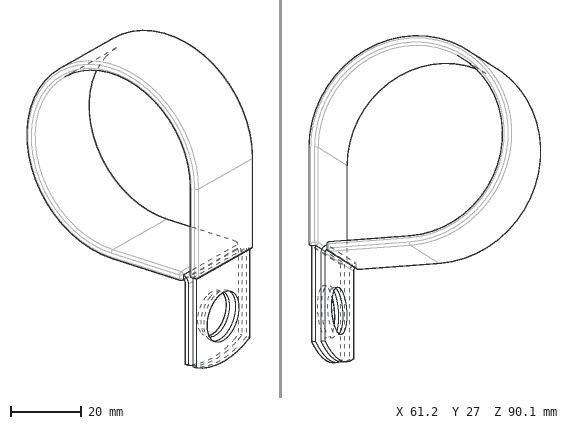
import cadquery as cq
import math


loop_inner_radius = 27.775
cushion_wall = 0.794
strap_thickness = 1.219
strap_width = 25.4
leg_end_z = -59.51
cushion_leg_end_z = -28.55
cushion_foot_end_x = 25.15
bend_inner_radius = 1.219
short_leg_hole_diameter = 13.49
long_leg_hole_diameter = 15.08
hole_to_leg_end = 14.29
leg_tip_radius = 29.5

loop_mid_angle = 135
bend_mid_angle = 45
tolerance = 1e-6

cushion_thickness = strap_thickness + 2 * cushion_wall
cushion_width = strap_width + 2 * cushion_wall
strap_inner_radius = loop_inner_radius + cushion_wall
strap_outer_radius = strap_inner_radius + strap_thickness
leg_gap = 2 * cushion_wall
short_leg_outer_x = strap_inner_radius - leg_gap
short_leg_inner_x = short_leg_outer_x - strap_thickness
bend_outer_radius = bend_inner_radius + strap_thickness
bend_center_x = short_leg_outer_x - bend_outer_radius
bend_center_z = -strap_inner_radius - bend_outer_radius
hole_z = leg_end_z + hole_to_leg_end


def extrude_across(profile, width):
    """Extrude an XZ profile symmetrically about Y = 0."""
    return profile.extrude(width / 2, both=True)


def on_arc(center_x, center_z, radius, angle):
    """Point on an arc in the XZ plane, angle in degrees from +X."""
    turn = math.radians(angle)
    return (center_x + radius * math.cos(turn), center_z + radius * math.sin(turn))


def make_cushion():
    """Three-quarter loop with a straight leg and a foot, every outer edge rounded."""
    inner = loop_inner_radius
    outer = inner + cushion_thickness
    profile = (
        cq.Workplane("XZ")
        .moveTo(outer, cushion_leg_end_z)
        .lineTo(outer, 0)
        .threePointArc(on_arc(0, 0, outer, loop_mid_angle), (0, -outer))
        .lineTo(cushion_foot_end_x, -outer)
        .lineTo(cushion_foot_end_x, -inner)
        .lineTo(0, -inner)
        .threePointArc(on_arc(0, 0, inner, loop_mid_angle), (inner, 0))
        .lineTo(inner, cushion_leg_end_z)
        .close()
    )
    body = extrude_across(profile, cushion_width)
    sides = body.faces("<Y or >Y").edges()
    cross_edges = body.edges("|Y")
    leg_end = cross_edges.filter(lambda edge: abs(edge.Center().z - cushion_leg_end_z) < tolerance)
    foot_end = cross_edges.filter(lambda edge: abs(edge.Center().x - cushion_foot_end_x) < tolerance)
    return sides.add(leg_end).add(foot_end).fillet(cushion_wall)


def make_strap():
    """Bare strap: straight leg, loop, foot and the short leg bent down from the foot."""
    inner = strap_inner_radius
    outer = strap_outer_radius
    profile = (
        cq.Workplane("XZ")
        .moveTo(outer, leg_end_z)
        .lineTo(outer, 0)
        .threePointArc(on_arc(0, 0, outer, loop_mid_angle), (0, -outer))
        .lineTo(bend_center_x, -outer)
        .threePointArc(
            on_arc(bend_center_x, bend_center_z, bend_inner_radius, bend_mid_angle),
            (short_leg_inner_x, bend_center_z),
        )
        .lineTo(short_leg_inner_x, leg_end_z)
        .lineTo(short_leg_outer_x, leg_end_z)
        .lineTo(short_leg_outer_x, bend_center_z)
        .threePointArc(
            on_arc(bend_center_x, bend_center_z, bend_outer_radius, bend_mid_angle),
            (bend_center_x, -inner),
        )
        .lineTo(0, -inner)
        .threePointArc(on_arc(0, 0, inner, loop_mid_angle), (inner, 0))
        .lineTo(inner, leg_end_z)
        .close()
    )
    return extrude_across(profile, strap_width)


def round_leg_tips(strap):
    """Keep only the material inside a large-radius tip on both legs."""
    half_width = strap_width / 2
    tip_rise = leg_tip_radius - math.sqrt(leg_tip_radius**2 - half_width**2)
    outline = (
        cq.Workplane("YZ")
        .moveTo(-half_width, strap_outer_radius)
        .lineTo(-half_width, leg_end_z + tip_rise)
        .threePointArc((0, leg_end_z), (half_width, leg_end_z + tip_rise))
        .lineTo(half_width, strap_outer_radius)
        .close()
        .extrude(strap_outer_radius, both=True)
    )
    return strap.intersect(outline)


def make_bolt_hole(start_x, end_x, diameter):
    """Cutter for a bolt hole along X between two positions."""
    return (
        cq.Workplane("YZ", origin=(start_x, 0, hole_z))
        .circle(diameter / 2)
        .extrude(end_x - start_x)
    )


short_leg_hole = make_bolt_hole(short_leg_inner_x, short_leg_outer_x, short_leg_hole_diameter)
long_leg_hole = make_bolt_hole(strap_inner_radius, strap_outer_radius, long_leg_hole_diameter)
strap = round_leg_tips(make_strap()).cut(short_leg_hole).cut(long_leg_hole)
result = make_cushion().union(strap)